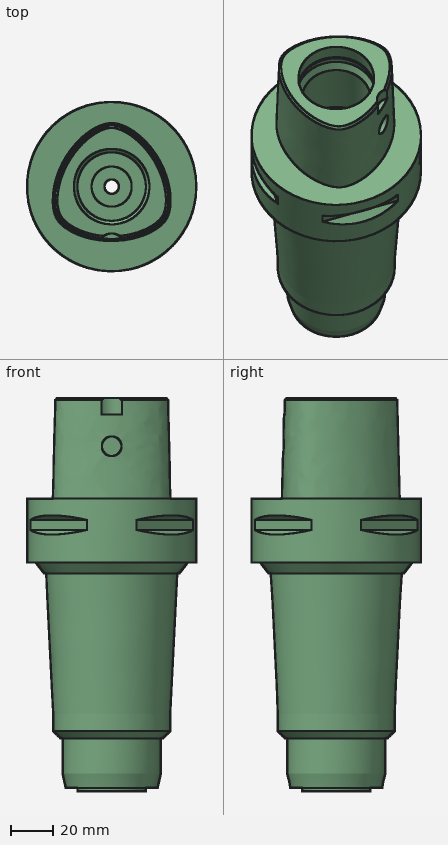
import cadquery as cq
import math

total_length = 185.4
flange_top = total_length - 47.5
flange_bottom = total_length - 77.7
neck_z = total_length - 82.7
cone_end_z = total_length - 149.0
collar_bottom = total_length - 157.0
nose_top = total_length - 160.4
nose_taper_z = total_length - 177.0
end_boss_height = 1.7

flange_diameter = 80.0
flange_radius = flange_diameter / 2
relief_radius = 35.8
neck_radius = 31.9
cone_top_radius = 31.0
collar_radius = 27.6
collar_edge_radius = 24.1
nose_radius = 23.2
nose_end_radius = 21.7
end_boss_radius = 16.1

shank_radius = 27.8
lobe_height = 2.13
shank_slope = 1 / 40
rim_chamfer_height = 1.1
rim_chamfer_width = 1.1
profile_point_count = 48

mouth_radius = 17.8
mouth_depth = 8.5
groove_radius = 18.5
groove_top_depth = 10.5
groove_bottom_depth = 13.5
main_bore_radius = 16.1
main_bore_start = 16.9
main_bore_depth = 47.5
step_radius = 9.5
step_depth = 55.6
through_radius = 3.3

keyway_radius = 6.3
keyway_center_y = -28.4
keyway_depth = 7.8
side_hole_radius = 4.6
side_hole_z = total_length - 22.8
side_hole_floor_y = -18.5

notch_count = 4
notch_start_angle = 45
notch_z = total_length - 59.9
notch_floor_height = 4.6
notch_rim_height = 9.0
notch_floor_length = 37.6
notch_floor_offset = math.sqrt(flange_radius**2 - (notch_floor_length / 2) ** 2)


def lobed_point(mean_radius, angle):
    """Point on a constant-width three-lobed curve with one lobe toward +Y."""
    lobe_angle = 3 * (angle - math.pi / 2)
    support = mean_radius + lobe_height * math.cos(lobe_angle)
    support_rate = -3 * lobe_height * math.sin(lobe_angle)
    x = support * math.cos(angle) - support_rate * math.sin(angle)
    y = support * math.sin(angle) + support_rate * math.cos(angle)
    return x, y


def lobed_loft(bottom_z, bottom_radius, top_z, top_radius):
    """Solid between two lobed outlines at different heights."""
    angles = [2 * math.pi * i / profile_point_count - math.pi / 2 for i in range(profile_point_count)]
    lower = [lobed_point(bottom_radius, angle) for angle in angles]
    upper = [lobed_point(top_radius, angle) for angle in angles]
    return (
        cq.Workplane("XY", origin=(0, 0, bottom_z))
        .spline(lower, periodic=True).close()
        .workplane(offset=top_z - bottom_z)
        .spline(upper, periodic=True).close()
        .loft(ruled=True)
    )


def turned_body():
    profile = [
        (0, 0),
        (end_boss_radius, 0),
        (end_boss_radius, end_boss_height),
        (nose_end_radius, end_boss_height),
        (nose_radius, nose_taper_z),
        (nose_radius, nose_top),
        (collar_edge_radius, nose_top),
        (collar_radius, collar_bottom),
        (collar_radius, cone_end_z),
        (cone_top_radius, neck_z),
        (neck_radius, neck_z),
        (relief_radius, flange_bottom),
        (flange_radius, flange_bottom),
        (flange_radius, flange_top),
        (0, flange_top),
    ]
    return cq.Workplane("XZ").polyline(profile).close().revolve(360, (0, 0), (0, 1))


def shank():
    chamfer_z = total_length - rim_chamfer_height
    chamfer_radius = shank_radius - shank_slope * (chamfer_z - flange_top)
    taper = lobed_loft(flange_top, shank_radius, chamfer_z, chamfer_radius)
    rim = lobed_loft(chamfer_z, chamfer_radius, total_length, chamfer_radius - rim_chamfer_width)
    return taper.union(rim)


def stepped_bore():
    profile = [
        (0, total_length),
        (mouth_radius, total_length),
        (mouth_radius, total_length - mouth_depth),
        (groove_radius, total_length - groove_top_depth),
        (groove_radius, total_length - groove_bottom_depth),
        (main_bore_radius, total_length - main_bore_start),
        (main_bore_radius, total_length - main_bore_depth),
        (step_radius, total_length - main_bore_depth),
        (step_radius, total_length - step_depth),
        (through_radius, total_length - step_depth),
        (through_radius, 0),
        (0, 0),
    ]
    return cq.Workplane("XZ").polyline(profile).close().revolve(360, (0, 0), (0, 1))


def keyway():
    return (
        cq.Workplane("XY", origin=(0, keyway_center_y, total_length - keyway_depth))
        .circle(keyway_radius)
        .extrude(keyway_depth)
    )


def side_hole():
    return (
        cq.Workplane("XZ", origin=(0, side_hole_floor_y, side_hole_z))
        .circle(side_hole_radius)
        .extrude(shank_radius + side_hole_floor_y)
    )


def gripper_notch(angle):
    """Straight notch with sloping flanks, cut across the flange rim."""
    profile = [
        (notch_floor_offset, notch_z - notch_floor_height / 2),
        (flange_radius, notch_z - notch_rim_height / 2),
        (flange_radius, notch_z + notch_rim_height / 2),
        (notch_floor_offset, notch_z + notch_floor_height / 2),
    ]
    notch = cq.Workplane("XZ").polyline(profile).close().extrude(notch_floor_length / 2, both=True)
    return notch.rotate((0, 0, 0), (0, 0, 1), angle)


result = turned_body().union(shank())
result = result.cut(stepped_bore()).cut(keyway()).cut(side_hole())
for i in range(notch_count):
    result = result.cut(gripper_notch(notch_start_angle + i * 360 / notch_count))